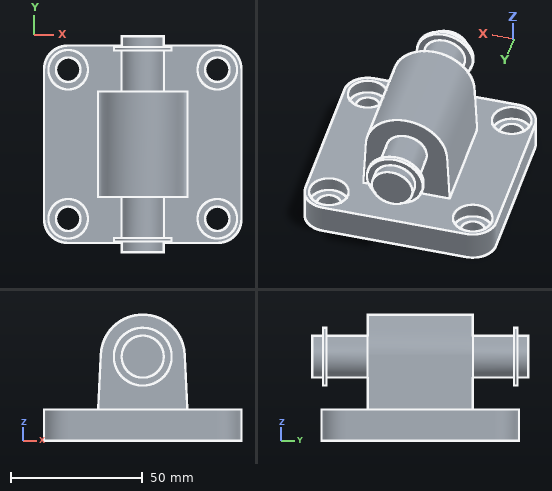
import cadquery as cq
import math

plate_side = 75.0
plate_height = 12.0
corner_radius = 9.2
hole_spacing = 56.6
hole_diameter = 9.2
counterbore_diameter = 15.0
counterbore_depth = 6.0

total_height = 48.0
crown_radius = 16.0
block_length = 40.0
block_base_width = 33.95
axis_height = total_height - crown_radius

pin_diameter = 16.0
pin_length = 82.0
ring_diameter = 22.0
ring_thickness = 1.5
ring_outer_face = 37.0


def make_plate():
    plate = cq.Workplane("XY").box(plate_side, plate_side, plate_height, centered=(True, True, False))
    return (
        plate.edges("|Z").fillet(corner_radius)
        .faces(">Z").workplane()
        .rect(hole_spacing, hole_spacing, forConstruction=True).vertices()
        .cboreHole(hole_diameter, counterbore_diameter, counterbore_depth)
    )


def make_block():
    """Block with sloping sides that run tangent into a round crown."""
    half_base = block_base_width / 2
    drop = axis_height - plate_height
    tangent_angle = math.acos(crown_radius / math.hypot(half_base, drop)) - math.atan2(drop, half_base)
    tangent_x = crown_radius * math.cos(tangent_angle)
    tangent_z = axis_height + crown_radius * math.sin(tangent_angle)
    return (
        cq.Workplane("XZ")
        .moveTo(-half_base, plate_height)
        .lineTo(half_base, plate_height)
        .lineTo(tangent_x, tangent_z)
        .threePointArc((0, total_height), (-tangent_x, tangent_z))
        .close()
        .extrude(block_length / 2, both=True)
    )


def make_cylinder(diameter, length, center_y):
    """Cylinder on the pin axis, centred at the given Y."""
    return (
        cq.Workplane("XZ", origin=(0, center_y, axis_height))
        .circle(diameter / 2)
        .extrude(length / 2, both=True)
    )


result = make_plate().union(make_block()).union(make_cylinder(pin_diameter, pin_length, 0))
for side in (-1, 1):
    ring_center = side * (ring_outer_face - ring_thickness / 2)
    result = result.union(make_cylinder(ring_diameter, ring_thickness, ring_center))